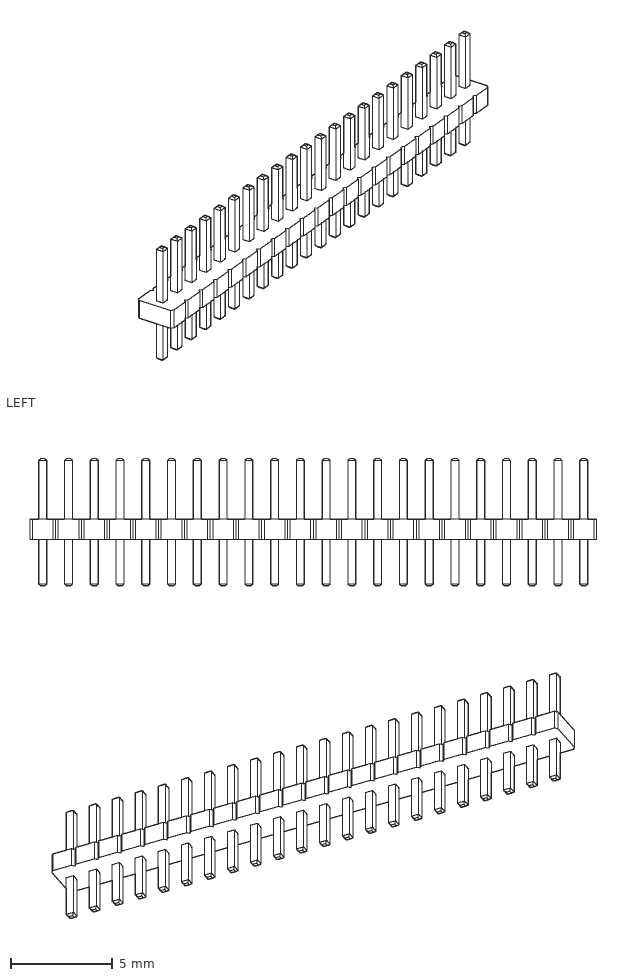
import cadquery as cq

row_length = 27.95
body_width = 2.1
body_height = 1.0
pin_count = 22
pitch = row_length / pin_count

corner_chamfer = 0.125

pin_half_width = 0.2
pin_width = 2 * pin_half_width
pin_above_body = 3.0
pin_below_body = 2.3
pin_length = pin_below_body + body_height + pin_above_body
tip_chamfer = 0.1


def body_segment():
    """One body block, its underside on Z = 0, with chamfered upright corners."""
    block = cq.Workplane("XY").box(body_width, pitch, body_height, centered=(True, True, False))
    return block.edges("|Z").chamfer(corner_chamfer)


def pin():
    """One square pin with both tips chamfered on all four sides."""
    shaft = (
        cq.Workplane("XY")
        .workplane(offset=-pin_below_body)
        .rect(pin_width, pin_width)
        .extrude(pin_length)
    )
    return shaft.faces("<Z or >Z").edges().chamfer(tip_chamfer)


position = body_segment().union(pin())
result = cq.Workplane("XY")
for index in range(pin_count):
    pin_y = (index - (pin_count - 1) / 2) * pitch
    result = result.union(position.translate((0, pin_y, 0)))